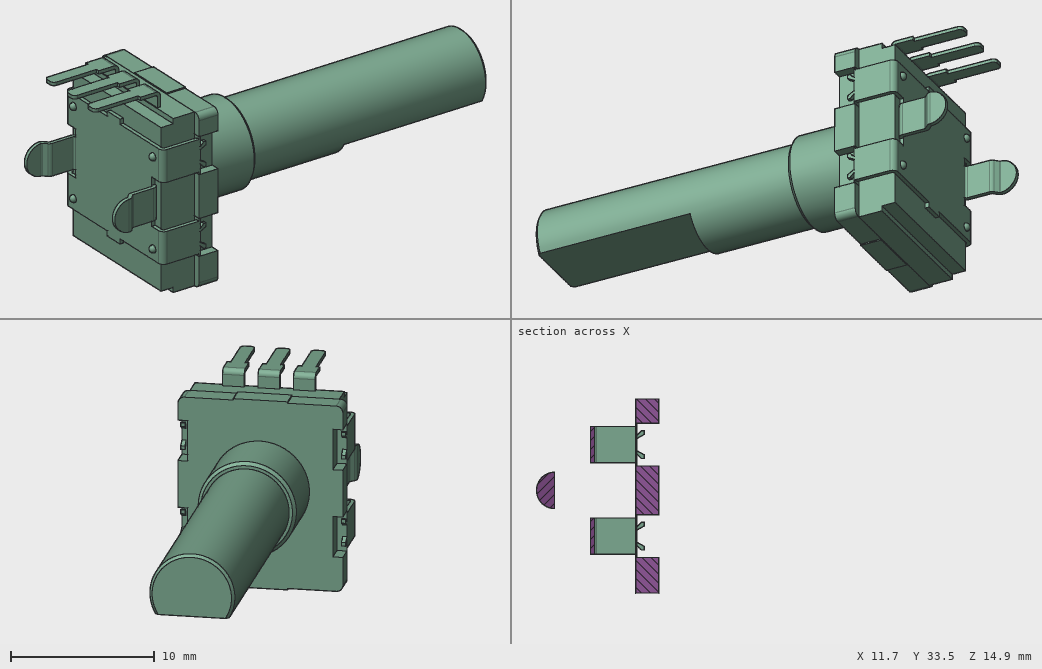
import cadquery as cq
import math


SHAFT_TIP = 26.6
SHAFT_RADIUS = 3.0
SHAFT_CHAMFER = 0.2
FLAT_LENGTH = 11.95
FLAT_DISTANCE = 1.5

FLANGE_THICKNESS = 1.6
BUSHING_LENGTH = 5.0
BUSHING_RADIUS = 3.5
BUSHING_CHAMFER = 0.25
BODY_TOP = 6.35
BODY_BOTTOM = -7.17
BODY_WIDTH = 11.7
BODY_CORNER_RADIUS = 0.47
RIDGE_WIDTH = 3.85
RIDGE_HEIGHT = 0.1

ARM_HEIGHT = 3.18
ARM_WIDTH = 2.55
NOTCH_WIDTH = 2.95
NOTCH_DEPTH = 0.7
ARM_FOOT_THICKNESS = 0.1
FINGER_REACH = 0.6
FINGER_CORNER = 0.4
FINGER_ROOT_INNER = 0.37
FINGER_ROOT_OUTER = 0.67
FINGER_TIP_INNER = 0.7
FINGER_TIP_OUTER = 0.97

WAFER_WIDTH = 10.6
WAFER_DEPTH = 2.85
WAFER_STEP_Y = -1.8
WAFER_STEP_HEIGHT = 0.4

SHEET = 0.3
BEND_RADIUS = 0.15
FRAME_REAR = -(WAFER_DEPTH + SHEET)
BACK_MIDDLE_Y = -(WAFER_DEPTH + SHEET / 2)
BACK_TAB_WIDTH = 1.55
BACK_TAB_LENGTH = 0.4
WAIST_WIDTH = 9.18
LAP_X = WAIST_WIDTH / 2 - SHEET
DIMPLE_X = 4.8
DIMPLE_Z = 3.6
DIMPLE_RADIUS = 0.3

TIP_Y = -6.9
LUG_WIDTH = 2.55
LUG_OFFSET = WAIST_WIDTH / 2 + BEND_RADIUS + SHEET / 2
LUG_JOG = 0.45
LUG_JOG_Y = -5.13

TERMINAL_PITCH = 2.5
TERMINAL_WIDTH = 1.55
PIN_WIDTH = 1.0
TERMINAL_THICKNESS = 0.27
TERMINAL_TOP = 7.6
LEG_FRONT_Y = -1.47
SHOULDER_Y = -3.18
PIN_CORNER_RADIUS = 0.35


def block(x_range, y_range, z_range):
    """Box between the given limits on each axis."""
    (x0, x1), (y0, y1), (z0, z1) = x_range, y_range, z_range
    return cq.Workplane("XY").box(x1 - x0, y1 - y0, z1 - z0, centered=False).translate((x0, y0, z0))


def centred(width, middle=0.0):
    """Limits of a span of the given width about its middle."""
    return (middle - width / 2, middle + width / 2)


def bent_strip(plane, path, thickness, width):
    """Sheet strip whose mid-line follows path on the plane, with rounded bends, centred across its width."""
    headings = [math.atan2(q[1] - p[1], q[0] - p[0]) for p, q in zip(path, path[1:])]
    turns = [math.remainder(after - before, math.tau) for before, after in zip(headings, headings[1:])]
    normals = [headings[0]] + [a + turn / 2 for a, turn in zip(headings, turns)] + [headings[-1]]
    mitres = [1.0] + [1 / math.cos(turn / 2) for turn in turns] + [1.0]

    def side(sign):
        reach = sign * thickness / 2
        return [
            (x - reach * mitre * math.sin(angle), y + reach * mitre * math.cos(angle))
            for (x, y), angle, mitre in zip(path, normals, mitres)
        ]

    left, right = side(1), side(-1)
    strip = cq.Workplane(plane).polyline(left + right[::-1]).close().extrude(width / 2, both=True)
    frame = cq.Plane.named(plane)
    for number, turn in enumerate(turns, start=1):
        inner, outer = (left, right) if turn > 0 else (right, left)
        for corner, radius in ((inner[number], BEND_RADIUS), (outer[number], BEND_RADIUS + thickness)):
            edge = cq.NearestToPointSelector(frame.toWorldCoords(corner).toTuple())
            strip = strip.edges(edge).fillet(radius)
    return strip


def arm_centres():
    """Side (-1 or 1) and Z position of each of the four clamping arms."""
    return [(side, z) for side in (-1, 1) for z in (-ARM_HEIGHT, ARM_HEIGHT)]


def side_span(side, outer, depth):
    """X limits of a layer of the given depth lying inside the plane |X| = outer."""
    return tuple(sorted((side * outer, side * (outer - depth))))


def make_shaft():
    start = FLANGE_THICKNESS + BUSHING_LENGTH
    shaft = cq.Workplane("XZ", origin=(0, start, 0)).circle(SHAFT_RADIUS).extrude(start - SHAFT_TIP)
    shaft = shaft.faces(">Y").chamfer(SHAFT_CHAMFER)
    flat = block(
        centred(2 * SHAFT_RADIUS),
        (SHAFT_TIP - FLAT_LENGTH, SHAFT_TIP),
        (-SHAFT_RADIUS, -FLAT_DISTANCE),
    )
    return shaft.cut(flat)


def make_housing():
    flange_span = (0, FLANGE_THICKNESS)
    flange = block(centred(BODY_WIDTH), flange_span, (BODY_BOTTOM, BODY_TOP))
    flange = flange.edges("|Y").fillet(BODY_CORNER_RADIUS)
    ridge_limits = (BODY_BOTTOM - RIDGE_HEIGHT, BODY_TOP + RIDGE_HEIGHT)
    flange = flange.union(block(centred(RIDGE_WIDTH), flange_span, ridge_limits))
    for side, z in arm_centres():
        notch_x = side_span(side, BODY_WIDTH / 2, NOTCH_DEPTH)
        flange = flange.cut(block(notch_x, flange_span, centred(NOTCH_WIDTH, z)))
    bushing = cq.Workplane("XZ", origin=(0, FLANGE_THICKNESS, 0)).circle(BUSHING_RADIUS).extrude(-BUSHING_LENGTH)
    bushing = bushing.faces(">Y").chamfer(BUSHING_CHAMFER)
    return flange.union(bushing)


def make_wafer():
    front = block(centred(WAFER_WIDTH), (WAFER_STEP_Y, 0), (BODY_BOTTOM, BODY_TOP))
    rear_limits = (BODY_BOTTOM + WAFER_STEP_HEIGHT, BODY_TOP - WAFER_STEP_HEIGHT)
    rear = block(centred(WAFER_WIDTH), (-WAFER_DEPTH, WAFER_STEP_Y), rear_limits)
    return front.union(rear)


def make_arm(side, z):
    """Arm from the back plate to the flange, with a foot in the flange notch and two splayed fingers."""
    sheet_x = side_span(side, BODY_WIDTH / 2, SHEET)
    middle_x = side * (BODY_WIDTH - SHEET) / 2
    path = [
        (side * LAP_X, BACK_MIDDLE_Y),
        (middle_x, BACK_MIDDLE_Y),
        (middle_x, ARM_FOOT_THICKNESS),
    ]
    arm = bent_strip("XY", path, SHEET, ARM_WIDTH).translate((0, 0, z))
    foot_x = side_span(side, BODY_WIDTH / 2, NOTCH_DEPTH)
    arm = arm.union(block(foot_x, (0, ARM_FOOT_THICKNESS), centred(NOTCH_WIDTH, z)))
    for direction in (-1, 1):
        outline = [
            (0, z + direction * FINGER_ROOT_INNER),
            (FINGER_REACH, z + direction * FINGER_TIP_INNER),
            (FINGER_REACH, z + direction * FINGER_TIP_OUTER),
            (FINGER_CORNER, z + direction * FINGER_TIP_OUTER),
            (ARM_FOOT_THICKNESS, z + direction * FINGER_ROOT_OUTER),
            (0, z + direction * FINGER_ROOT_OUTER),
        ]
        finger = cq.Workplane("YZ", origin=(sheet_x[0], 0, 0)).polyline(outline).close().extrude(SHEET)
        arm = arm.union(finger)
    return arm


def make_lug(side):
    """Lug bent out of the back plate's waist, jogged outward and rounded at its tip."""
    path = [
        (side * LAP_X, BACK_MIDDLE_Y),
        (side * LUG_OFFSET, BACK_MIDDLE_Y),
        (side * LUG_OFFSET, LUG_JOG_Y),
        (side * (LUG_OFFSET + LUG_JOG), LUG_JOG_Y - LUG_JOG),
        (side * (LUG_OFFSET + LUG_JOG), TIP_Y),
    ]
    lug = bent_strip("XY", path, SHEET, LUG_WIDTH)
    length = -2 * TIP_Y
    outline = cq.Workplane("YZ").slot2D(length, LUG_WIDTH).extrude(BODY_WIDTH / 2, both=True)
    return lug.intersect(outline)


def make_frame():
    back_span = (FRAME_REAR, -WAFER_DEPTH)
    plate_height = 2 * ARM_HEIGHT + ARM_WIDTH
    frame = block(centred(WAIST_WIDTH), back_span, centred(plate_height))
    tab_limits = centred(plate_height + 2 * BACK_TAB_LENGTH)
    frame = frame.union(block(centred(BACK_TAB_WIDTH), back_span, tab_limits))
    for side, z in arm_centres():
        frame = frame.union(make_arm(side, z))
        dimple = cq.Workplane("XY").sphere(DIMPLE_RADIUS)
        dimple_z = math.copysign(DIMPLE_Z, z)
        frame = frame.union(dimple.translate((side * DIMPLE_X, FRAME_REAR, dimple_z)))
    for side in (-1, 1):
        frame = frame.union(make_lug(side))
    return frame


def make_terminal(x):
    """Wide strip rising from the wafer, bent toward -Y and narrowed to a round-cornered pin."""
    half = TERMINAL_THICKNESS / 2
    leg_y = LEG_FRONT_Y - half
    path = [
        (leg_y, BODY_TOP - WAFER_STEP_HEIGHT),
        (leg_y, TERMINAL_TOP - half),
        (SHOULDER_Y, TERMINAL_TOP - half),
    ]
    strip = bent_strip("YZ", path, TERMINAL_THICKNESS, TERMINAL_WIDTH)
    pin = block(centred(PIN_WIDTH), (TIP_Y, SHOULDER_Y), (TERMINAL_TOP - TERMINAL_THICKNESS, TERMINAL_TOP))
    pin = pin.faces("<Y").edges("|Z").fillet(PIN_CORNER_RADIUS)
    return strip.union(pin).translate((x, 0, 0))


def make_base():
    base = make_wafer().union(make_frame())
    for number in (-1, 0, 1):
        base = base.union(make_terminal(number * TERMINAL_PITCH))
    return base


shaft = make_shaft()
housing = make_housing()
base = make_base()

result = cq.Compound.makeCompound([shaft.solids().val(), housing.solids().val(), base.solids().val()])